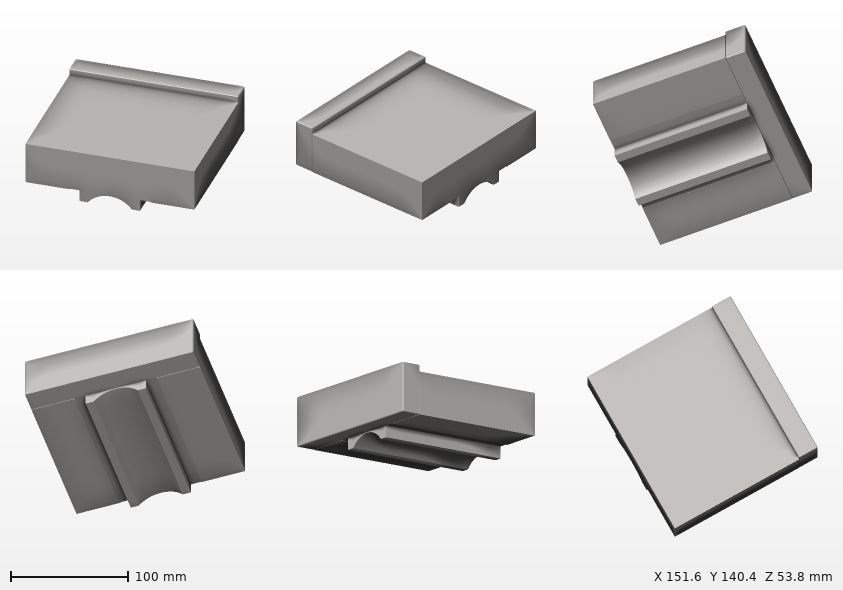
import cadquery as cq

width = 151.6
total_depth = 140.4
total_height = 53.8

bar_depth = 18.3
bar_rise = 6.0
bar_edge_chamfer = 0.6

rail_width = 54.0
rail_height = 10.0
arch_width = 39.4
arch_height = 9.5

relief_width = 9.5
relief_depth = 0.6

plate_depth = total_depth - bar_depth
plate_top = total_height - bar_rise
bar_height = total_height - rail_height


def make_plate():
    """Plate with its rail, extruded from the front face to the bar."""
    half_width = width / 2
    half_rail = rail_width / 2
    half_arch = arch_width / 2
    relief_edge = half_rail + relief_width
    relief_top = rail_height + relief_depth
    outline = (
        cq.Workplane("XZ")
        .moveTo(-half_width, plate_top)
        .lineTo(-half_width, rail_height)
        .lineTo(-relief_edge, rail_height)
        .lineTo(-relief_edge, relief_top)
        .lineTo(-half_rail, relief_top)
        .lineTo(-half_rail, 0)
        .lineTo(-half_arch, 0)
        .threePointArc((0, arch_height), (half_arch, 0))
        .lineTo(half_rail, 0)
        .lineTo(half_rail, relief_top)
        .lineTo(relief_edge, relief_top)
        .lineTo(relief_edge, rail_height)
        .lineTo(half_width, rail_height)
        .lineTo(half_width, plate_top)
        .close()
    )
    return outline.extrude(-plate_depth)


def make_stop_bar():
    """Bar with all edges chamfered, flush with the plate underside."""
    return (
        cq.Workplane("XY")
        .box(width, bar_depth, bar_height, centered=(True, False, False))
        .edges()
        .chamfer(bar_edge_chamfer)
        .translate((0, plate_depth, rail_height))
    )


plate = make_plate()
stop_bar = make_stop_bar()

result = cq.Compound.makeCompound([plate.val(), stop_bar.val()])